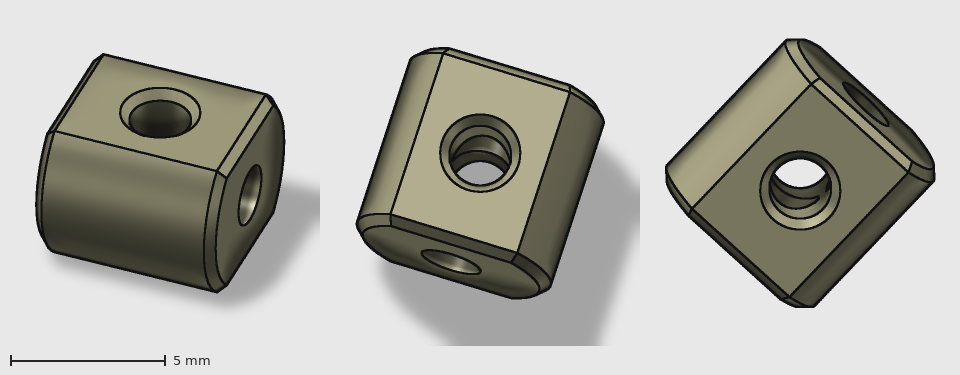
import cadquery as cq

length = 6.25
body_diameter = 6.6
height = 5.0
hole_diameter = 2.0
chamfer = 0.3


def make_body():
    """Cylinder along X, cut by top and bottom flats, with chamfered end faces."""
    cylinder = cq.Workplane("YZ").circle(body_diameter / 2).extrude(length / 2, both=True)
    flats = cq.Workplane("XY").box(length, body_diameter, height)
    return cylinder.intersect(flats).faces("<X or >X").chamfer(chamfer)


def drill_lengthwise(body):
    """Plain through hole along X."""
    return body.faces(">X").workplane(origin=(0, 0, 0)).hole(hole_diameter)


def drill_vertical(body):
    """Through hole along Z, countersunk at 45 degrees at both flats."""
    hole = cq.Workplane("XY").circle(hole_diameter / 2).extrude(height / 2, both=True)
    rim_radius = hole_diameter / 2 + chamfer
    top_rim = (
        cq.Workplane("XZ")
        .moveTo(0, height / 2)
        .lineTo(rim_radius, height / 2)
        .lineTo(hole_diameter / 2, height / 2 - chamfer)
        .lineTo(0, height / 2 - chamfer)
        .close()
        .revolve(360, (0, 0, 0), (0, 1, 0))
    )
    bottom_rim = top_rim.mirror("XY")
    return body.cut(hole).cut(top_rim).cut(bottom_rim)


result = drill_vertical(drill_lengthwise(make_body()))